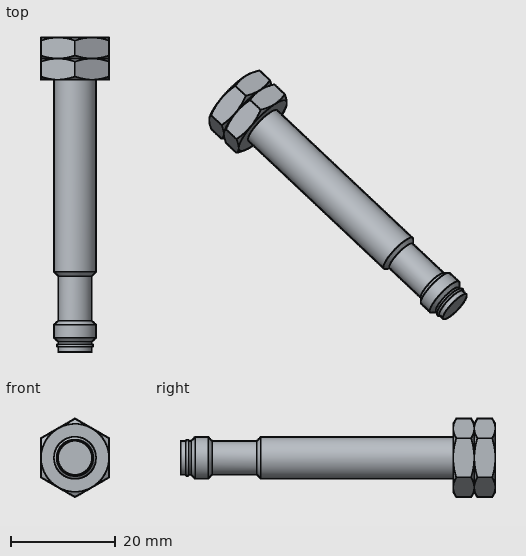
import cadquery as cq
import math

total_length = 60.0

across_corners = 15.0
hex_count = 2
hex_height = 4.0
head_length = hex_count * hex_height
hex_face_diameter = 12.95
hex_chamfer_angle = 30.0

shaft_radius = 8.05 / 2
neck_radius = 6.5 / 2
shoulder_chamfer = shaft_radius - neck_radius
shaft_end = 14.5
collar_start = 2.0
collar_end = 6.0

ring_radius = 0.25
ring_center = 1.25


def make_hex(start):
    """Hexagonal prism with conically chamfered corners on both faces."""
    corner_radius = across_corners / 2
    face_radius = hex_face_diameter / 2
    chamfer_depth = (corner_radius - face_radius) * math.tan(math.radians(hex_chamfer_angle))
    prism = (
        cq.Workplane("XZ", origin=(0, start, 0))
        .transformed(rotate=(0, 0, 90))
        .polygon(6, across_corners)
        .extrude(-hex_height)
    )
    chamfer_envelope = (
        cq.Workplane("XY")
        .moveTo(0, start)
        .lineTo(face_radius, start)
        .lineTo(corner_radius, start + chamfer_depth)
        .lineTo(corner_radius, start + hex_height - chamfer_depth)
        .lineTo(face_radius, start + hex_height)
        .lineTo(0, start + hex_height)
        .close()
        .revolve(360, (0, 0, 0), (0, 1, 0))
    )
    return prism.intersect(chamfer_envelope)


def make_stem(end):
    """Shaft, neck, collar and ring as one revolved profile."""
    return (
        cq.Workplane("XY")
        .lineTo(neck_radius, 0)
        .lineTo(neck_radius, ring_center - ring_radius)
        .threePointArc(
            (neck_radius + ring_radius, ring_center),
            (neck_radius, ring_center + ring_radius),
        )
        .lineTo(neck_radius, collar_start)
        .lineTo(shaft_radius, collar_start + shoulder_chamfer)
        .lineTo(shaft_radius, collar_end - shoulder_chamfer)
        .lineTo(neck_radius, collar_end)
        .lineTo(neck_radius, shaft_end)
        .lineTo(shaft_radius, shaft_end + shoulder_chamfer)
        .lineTo(shaft_radius, end)
        .lineTo(0, end)
        .close()
        .revolve(360, (0, 0, 0), (0, 1, 0))
    )


head_start = total_length - head_length
result = make_stem(head_start)
for index in range(hex_count):
    result = result.union(make_hex(head_start + index * hex_height))